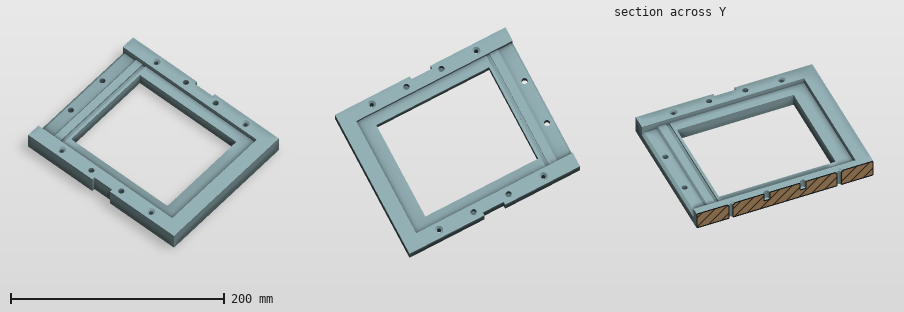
import cadquery as cq

length = 180.8
width = 150.6
height = 18.5
rail_width = 14.6
end_wall = 14.8

floor_height = 12.7
recess_width = width - 2 * rail_width
window_start = 31.0
window_end = 150.5
window_border = 11.2
window_width = recess_width - 2 * window_border

step_rise = 2.4
mid_height = floor_height - step_rise
entry_height = mid_height - step_rise
entry_ramp_end = 2.7
upper_ramp_start = 14.8
upper_ramp_end = 16.6

groove_start = 24.5
groove_end = 28.2
groove_depth = 2.0

notch_length = 21.9
notch_depth = 3.0

rail_hole_y = width / 2 - 7.5
screw_spacing = 110.7
screw_diameter = 4.0
screw_head_diameter = 8.1
countersink_angle = 90
pin_spacing = 37.0
pin_diameter = 5.8
pin_depth = 9.0
entry_hole_x = 7.5
entry_hole_spacing = 45.4
entry_hole_diameter = 5.8


def box_between(x_start, x_end, y_width, z_start, z_end):
    """Box centred on the X axis."""
    return cq.Workplane("XY").box(
        x_end - x_start, y_width, z_end - z_start, centered=(False, True, False)
    ).translate((x_start, 0, z_start))


def rail_points(spacing):
    """Symmetric hole positions on both side rails."""
    return [
        (length / 2 + side * spacing / 2, y)
        for side in (-1, 1)
        for y in (-rail_hole_y, rail_hole_y)
    ]


frame = box_between(0, length, width, 0, height)

recess = (
    cq.Workplane("XZ")
    .moveTo(0, entry_height)
    .lineTo(entry_ramp_end, mid_height)
    .lineTo(upper_ramp_start, mid_height)
    .lineTo(upper_ramp_end, floor_height)
    .lineTo(length - end_wall, floor_height)
    .lineTo(length - end_wall, height)
    .lineTo(0, height)
    .close()
    .extrude(recess_width / 2, both=True)
)
frame = frame.cut(recess)

frame = frame.cut(box_between(window_start, window_end, window_width, 0, height))

frame = frame.cut(
    box_between(groove_start, groove_end, recess_width, floor_height - groove_depth, floor_height)
)

for side in (-1, 1):
    notch = box_between(
        (length - notch_length) / 2, (length + notch_length) / 2, 2 * notch_depth, 0, height
    )
    frame = frame.cut(notch.translate((0, side * width / 2, 0)))

rail_top = cq.Workplane("XY", origin=(0, 0, height))
frame = (
    frame.copyWorkplane(rail_top)
    .pushPoints(rail_points(screw_spacing))
    .cskHole(screw_diameter, screw_head_diameter, countersink_angle)
)
frame = (
    frame.copyWorkplane(rail_top)
    .pushPoints(rail_points(pin_spacing))
    .hole(pin_diameter, pin_depth)
)

frame = (
    frame.copyWorkplane(rail_top)
    .pushPoints([(entry_hole_x, side * entry_hole_spacing / 2) for side in (-1, 1)])
    .hole(entry_hole_diameter)
)

result = frame